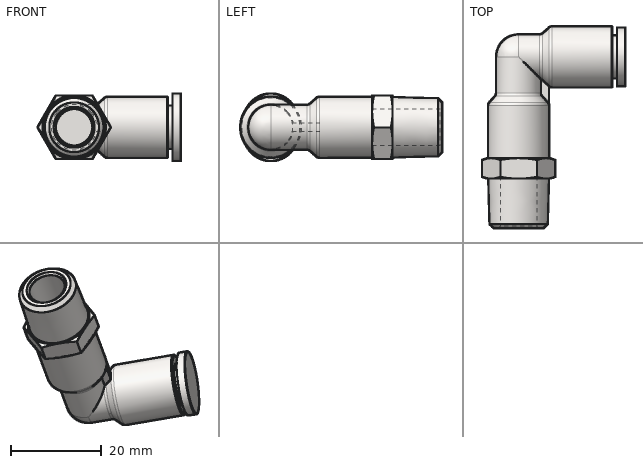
import cadquery as cq
import math


overall_x = 31.65
overall_y = 44.6
neck_radius = 5.0
body_radius = 6.8
shoulder_length = 2.0
shoulder_blend = 1.0

thread_shoulder_start = 8.35
hex_start = 22.35
hex_length = 4.5
hex_end = hex_start + hex_length
thread_arm_end = overall_y - body_radius
hex_across_flats = 14.0
hex_corner_diameter = hex_across_flats / math.cos(math.pi / 6)
hex_chamfer_depth = 0.38
thread_root_radius = 6.75
thread_tip_radius = 6.45
thread_chamfer = 1.0

bore_radius = 4.0
bore_chamfer = 0.5
bore_depth = thread_arm_end - hex_start

tube_shoulder_start = 5.0
tube_body_end = 20.75
tube_body_rim_chamfer = 0.25
collar_neck_radius = 4.8
collar_start = 21.68
collar_end = overall_x - hex_corner_diameter / 2
collar_half_width = 6.5
collar_half_height = 7.5
collar_rim_chamfer = 0.15

web_thickness = 1.95


def stepped_arm(shoulder_start, body_end):
    """Neck, conical shoulder and body, turned about +Z from the elbow centre."""
    shoulder_end = shoulder_start + shoulder_length
    arm = (
        cq.Workplane("XZ")
        .polyline([
            (0, 0),
            (neck_radius, 0),
            (neck_radius, shoulder_start),
            (body_radius, shoulder_end),
            (body_radius, body_end),
            (0, body_end),
        ])
        .close()
        .revolve(360, (0, 0, 0), (0, 1, 0))
    )
    for height in (shoulder_start, shoulder_end):
        shoulder_edge = cq.selectors.NearestToPointSelector((0, 0, height))
        arm = arm.edges(shoulder_edge).fillet(shoulder_blend)
    return arm


def chamfered_hex():
    """Hex with corners on X and both faces chamfered down to the flats' inscribed circle."""
    flat_radius = hex_across_flats / 2
    corner_radius = hex_corner_diameter / 2
    prism = cq.Workplane("XY").workplane(offset=hex_start)
    prism = prism.polygon(6, hex_corner_diameter).extrude(hex_length)
    chamfer_envelope = (
        cq.Workplane("XZ")
        .polyline([
            (0, hex_start),
            (flat_radius, hex_start),
            (corner_radius, hex_start + hex_chamfer_depth),
            (corner_radius, hex_end - hex_chamfer_depth),
            (flat_radius, hex_end),
            (0, hex_end),
        ])
        .close()
        .revolve(360, (0, 0, 0), (0, 1, 0))
    )
    return prism.intersect(chamfer_envelope)


def tapered_thread():
    """Plain tapered thread envelope with a chamfered tip."""
    return (
        cq.Workplane("XZ")
        .polyline([
            (0, hex_end),
            (thread_root_radius, hex_end),
            (thread_tip_radius, thread_arm_end - thread_chamfer),
            (thread_tip_radius - thread_chamfer, thread_arm_end),
            (0, thread_arm_end),
        ])
        .close()
        .revolve(360, (0, 0, 0), (0, 1, 0))
    )


def thread_arm():
    """Complete thread arm, turned to run along -Y."""
    arm = stepped_arm(thread_shoulder_start, hex_start).union(chamfered_hex()).union(tapered_thread())
    arm = arm.faces(">Z").workplane(origin=(0, 0, 0)).hole(2 * bore_radius, bore_depth)
    arm = arm.faces(">Z").edges("%CIRCLE").edges(cq.selectors.RadiusNthSelector(0)).chamfer(bore_chamfer)
    return arm.rotate((0, 0, 0), (1, 0, 0), 90)


def release_collar():
    """Oval release collar on its round neck, along +X."""
    neck = cq.Workplane("YZ").workplane(offset=tube_body_end)
    neck = neck.circle(collar_neck_radius).extrude(collar_start - tube_body_end)
    collar = cq.Workplane("YZ").workplane(offset=collar_start)
    collar = collar.ellipse(collar_half_width, collar_half_height).extrude(collar_end - collar_start)
    collar = collar.faces(">X").edges().chamfer(collar_rim_chamfer)
    return neck.union(collar)


def tube_arm():
    """Complete tube arm, turned to run along +X."""
    body = stepped_arm(tube_shoulder_start, tube_body_end)
    body = body.faces(">Z").edges().chamfer(tube_body_rim_chamfer)
    return body.rotate((0, 0, 0), (0, 1, 0), 90).union(release_collar())


def corner_web():
    """Flat web filling the inner corner, flush with the side of the thread arm body."""
    web_length = thread_shoulder_start + shoulder_length + shoulder_blend
    web_edge = math.sqrt(body_radius ** 2 - (web_thickness / 2) ** 2)
    web = cq.Workplane("XY").box(web_edge, web_length, web_thickness, centered=(False, False, True))
    return web.translate((0, -web_length, 0))


elbow_ball = cq.Workplane("XY").sphere(neck_radius)
result = thread_arm().union(tube_arm()).union(elbow_ball).union(corner_web())